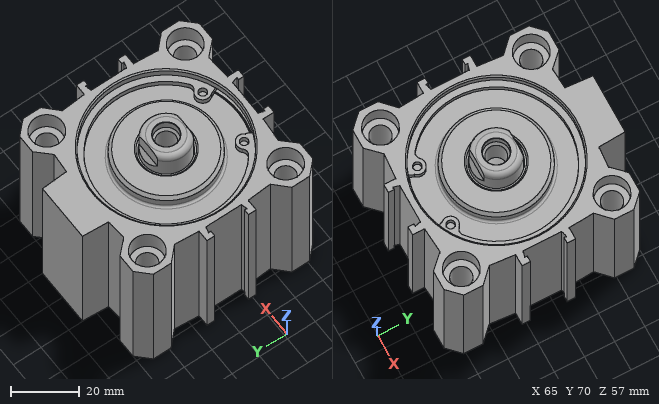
import cadquery as cq
import math

housing_width = 65.0
overall_length = 70.0
housing_height = 49.5
half_width = housing_width / 2

bolt_offset = 25.0
lug_flat_half = 3.2
lug_root_along = 17.3
wall_at_lug = 27.9
bolt_hole_d = 6.8
bolt_counterbore_d = 11.0
bolt_counterbore_depth = 7.0

wall_at_rail = 28.55
rail_outer = 8.9
rail_lip_inner = 6.1
rail_undercut = 6.9
rail_root_inner = 6.4
rail_lip_thickness = 1.95

port_reach = overall_length - half_width
port_root_half = 10.5
port_end_half = 9.95
wall_at_port = 28.5

recess_d = 52.2
edge_break = 0.5

cover_d = 51.8
cover_face_depth = 5.2
cover_thickness = 10.0
cover_chamfer = 0.3
boss_d = 34.0
boss_top_depth = 0.7
boss_chamfer = 1.05
boss_root_radius = 0.85
rod_bore_d = 16.5
wiper_bore_d = 17.7
wiper_bore_depth = 0.7

ring_outer_d = 55.2
ring_inner_d = 48.15
ring_thickness = 2.0
ring_groove_height = 2.3
ear_x = 10.3
ear_y = -20.65
ear_radius = 2.6
ear_hole_d = 2.7
ear_root_radius = 2.1
ring_end_angle = 26.0

rod_d = 16.0
rod_top = 57.0
rod_edge_radius = 1.95
flat_width = 13.0
flat_bottom = housing_height + 2.1
thread_entry_d = 8.55
thread_relief_d = 8.25
thread_relief_depth = 2.95
thread_d = 6.65
thread_depth = 14.0
thread_tip_d = 2.5
thread_tip_length = 1.25

cover_face = housing_height - cover_face_depth
recess_floor = cover_face - cover_thickness
boss_top = housing_height - boss_top_depth


def housing_blank():
    """Square body with bevelled corner lugs and slightly bowed side walls."""
    lug_inner = bolt_offset - lug_flat_half
    lug_outer = bolt_offset + lug_flat_half
    half_side = [
        (wall_at_rail, rail_outer),
        (wall_at_lug, lug_root_along),
        (half_width, lug_inner),
        (half_width, lug_outer),
    ]
    side = [(x, -y) for x, y in reversed(half_side)] + half_side
    outline = list(side)
    for _ in range(3):
        side = [(-y, x) for x, y in side]
        outline += side
    return cq.Workplane("XY").polyline(outline).close().extrude(housing_height)


def sensor_rail(side_angle):
    """Pair of hooked ribs facing each other, on the side at side_angle from +X."""
    lip_inside = half_width - rail_lip_thickness
    hook = [
        (wall_at_lug, rail_outer),
        (half_width, rail_outer),
        (half_width, rail_lip_inner),
        (lip_inside, rail_lip_inner),
        (lip_inside, rail_undercut),
        (wall_at_rail, rail_root_inner),
        (wall_at_lug, rail_root_inner),
    ]
    rib = cq.Workplane("XY").polyline(hook).close().extrude(housing_height)
    pair = rib.union(rib.mirror("XZ"))
    return pair.rotate((0, 0, 0), (0, 0, 1), side_angle)


def port_block():
    outline = [
        (-port_root_half, wall_at_lug),
        (-port_root_half, wall_at_port),
        (-port_end_half, port_reach),
        (port_end_half, port_reach),
        (port_root_half, wall_at_port),
        (port_root_half, wall_at_lug),
    ]
    return cq.Workplane("XY").polyline(outline).close().extrude(housing_height)


def cover_recess():
    """Round recess with a chamfered mouth and a groove for the retaining ring."""
    recess = (
        cq.Workplane("XY")
        .workplane(offset=recess_floor)
        .circle(recess_d / 2)
        .extrude(housing_height - recess_floor)
    )
    mouth = (
        cq.Workplane("XY")
        .workplane(offset=housing_height - edge_break)
        .circle(recess_d / 2)
        .workplane(offset=edge_break)
        .circle(recess_d / 2 + edge_break)
        .loft(ruled=True)
    )
    groove = (
        cq.Workplane("XY")
        .workplane(offset=cover_face)
        .circle(ring_outer_d / 2)
        .extrude(ring_groove_height)
    )
    return recess.union(mouth).union(groove)


def make_housing():
    body = housing_blank().union(port_block())
    for side_angle in (0, 180, 270):
        body = body.union(sensor_rail(side_angle))
    body = body.cut(cover_recess())
    return (
        body.faces(">Z")
        .workplane(origin=(0, 0, housing_height))
        .rect(2 * bolt_offset, 2 * bolt_offset, forConstruction=True)
        .vertices()
        .cboreHole(bolt_hole_d, bolt_counterbore_d, bolt_counterbore_depth)
    )


def make_rod_cover():
    """Chamfered round cover with a raised boss and a stepped, chamfered bore for the rod."""
    boss_r = boss_d / 2
    wiper_r = wiper_bore_d / 2
    root_z = cover_face + boss_root_radius
    arc_drop = boss_root_radius * (1 - math.sqrt(0.5))
    profile = (
        cq.Workplane("XZ")
        .moveTo(rod_bore_d / 2, recess_floor)
        .lineTo(cover_d / 2, recess_floor)
        .lineTo(cover_d / 2, cover_face - cover_chamfer)
        .lineTo(cover_d / 2 - cover_chamfer, cover_face)
        .lineTo(boss_r + boss_root_radius, cover_face)
        .threePointArc((boss_r + arc_drop, cover_face + arc_drop), (boss_r, root_z))
        .lineTo(boss_r, boss_top - boss_chamfer)
        .lineTo(boss_r - boss_chamfer, boss_top)
        .lineTo(wiper_r + edge_break, boss_top)
        .lineTo(wiper_r, boss_top - edge_break)
        .lineTo(wiper_r, boss_top - wiper_bore_depth)
        .lineTo(rod_bore_d / 2, boss_top - wiper_bore_depth)
        .close()
    )
    return profile.revolve(360, (0, 0, 0), (0, 1, 0))


def ring_gap():
    """Wedge between the two ring ends; its sides are tangent to the ears."""
    angle = math.radians(ring_end_angle)
    inner_x = ear_x - ear_radius * math.cos(angle)
    inner_y = ear_y - ear_radius * math.sin(angle)
    outer_y = -ring_outer_d / 2
    outer_x = inner_x + (inner_y - outer_y) * math.tan(angle)
    wedge = [(-inner_x, inner_y), (-outer_x, outer_y), (outer_x, outer_y), (inner_x, inner_y)]
    return cq.Workplane("XY").polyline(wedge).close().extrude(ring_thickness)


def make_retaining_ring():
    """Open ring with two round ears, each with a plier hole."""
    ears = [(-ear_x, ear_y), (ear_x, ear_y)]
    ring = cq.Workplane("XY").circle(ring_outer_d / 2).circle(ring_inner_d / 2).extrude(ring_thickness)
    ring = ring.union(cq.Workplane("XY").pushPoints(ears).circle(ear_radius).extrude(ring_thickness))
    ring = ring.cut(ring_gap())
    for side in (-1, 1):
        root = cq.selectors.BoxSelector(
            (side * ear_x, ear_y - ear_radius, 0),
            (side * (ear_x + 2 * ear_radius), ear_y + ear_radius, ring_thickness),
        )
        ring = ring.edges("|Z").edges(root).fillet(ear_root_radius)
    holes = cq.Workplane("XY").pushPoints(ears).circle(ear_hole_d / 2).extrude(ring_thickness)
    return ring.cut(holes).translate((0, 0, cover_face))


def rod_flat():
    """Cutter for the -Y wrench flat, with a 45 degree run-out at its lower end."""
    flat_y = flat_width / 2
    run_out = rod_d / 2
    section = [
        (-flat_y, rod_top),
        (-flat_y, flat_bottom),
        (-flat_y - run_out, flat_bottom - run_out),
        (-flat_y - run_out, rod_top),
    ]
    return cq.Workplane("YZ").polyline(section).close().extrude(rod_d / 2, both=True)


def rod_thread_hole():
    """Blind hole with a chamfered, relieved mouth and a tapered tip."""
    mouth_chamfer = (thread_entry_d - thread_relief_d) / 2
    relief_step = (thread_relief_d - thread_d) / 2
    section = [
        (0, rod_top),
        (thread_entry_d / 2, rod_top),
        (thread_relief_d / 2, rod_top - mouth_chamfer),
        (thread_relief_d / 2, rod_top - thread_relief_depth),
        (thread_d / 2, rod_top - thread_relief_depth - relief_step),
        (thread_d / 2, rod_top - thread_depth),
        (thread_tip_d / 2, rod_top - thread_depth - thread_tip_length),
        (0, rod_top - thread_depth - thread_tip_length),
    ]
    return cq.Workplane("XZ").polyline(section).close().revolve(360, (0, 0, 0), (0, 1, 0))


def make_piston_rod():
    rod = (
        cq.Workplane("XY")
        .workplane(offset=recess_floor)
        .circle(rod_d / 2)
        .extrude(rod_top - recess_floor)
        .faces(">Z")
        .edges()
        .fillet(rod_edge_radius)
    )
    flat = rod_flat()
    return rod.cut(flat).cut(flat.mirror("XZ")).cut(rod_thread_hole())


housing = make_housing()
rod_cover = make_rod_cover()
retaining_ring = make_retaining_ring()
piston_rod = make_piston_rod()

result = cq.Compound.makeCompound(
    [housing.val(), rod_cover.val(), retaining_ring.val(), piston_rod.val()]
)